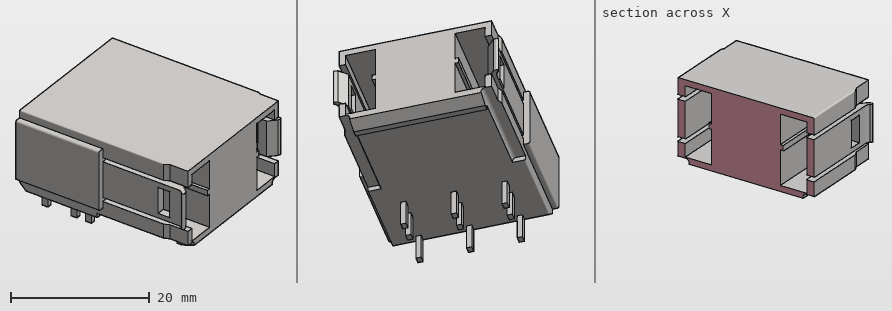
import cadquery as cq

LENGTH = 29.25
HALF_WIDTH = 11.85
HEIGHT = 13.5
REAR_CHAMFER = 1.25
EDGE_RADIUS = 0.2

TAPER_START = 25.2
TAPER_END = 26.13
END_HALF_WIDTH = 11.47

TAB_START = 26.25
TAB_SLOPE_START = 27.15
TAB_HALF_WIDTH = 9.9
TAB_DEPTH = 0.72

RELIEF_START = 13.54
RELIEF_TOP = 0.8
RELIEF_RADIUS = 0.58

PLATE_LENGTH = 14.58
PLATE_HALF_WIDTH = 12.83
PLATE_BOTTOM = 2.07
PLATE_TOP = 12.23
PLATE_RADIUS = 0.35

WINDOW_BOTTOM = 3.22
WINDOW_TOP = 10.71
CAVITY_WALL = 1.05
CORE_HALF_WIDTH = 6.0
RIB_DEPTH = 0.5
RIB_HEIGHT = 0.92
RIB_CENTER = (PLATE_BOTTOM + PLATE_TOP) / 2

ARM_GAP = 0.7
ARM_BOTTOM = WINDOW_BOTTOM + ARM_GAP
ARM_TOP = WINDOW_TOP - ARM_GAP
ARM_INNER = HALF_WIDTH - 1.35
HOOK_START = 27.75
HOOK_FLANK_END = (28.6, 12.18)
HOOK_CREST = (28.85, 12.42)
HOOK_TIP = (29.14, 12.15)
HOOK_HEEL = (29.02, 11.68)
HOLE_START = 24.27
HOLE_END = 26.27
HOLE_BOTTOM = 4.7
HOLE_TOP = 9.13

PIN_X = (1.8, 6.88, 9.42)
PIN_PITCH_Y = 7.62
PIN_LENGTH_X = 1.05
PIN_WIDTH_Y = 0.8
PIN_DROP = 4.24
PIN_EMBED = 0.5


def block(x_range, y_range, z_range):
    """Axis-aligned box between the given limits."""
    size = [high - low for low, high in (x_range, y_range, z_range)]
    corner = (x_range[0], y_range[0], z_range[0])
    return cq.Workplane("XY").box(*size, centered=False).translate(corner)


def both_sides(shape):
    """The shape, built on the +Y side, joined with its mirror image."""
    return shape.union(shape.mirror("XZ"))


def make_housing():
    housing = block((0, LENGTH), (-HALF_WIDTH, HALF_WIDTH), (0, HEIGHT))
    housing = housing.edges("|X").fillet(EDGE_RADIUS)
    rear_corner = (
        cq.Workplane("XZ")
        .polyline([(0, 0), (REAR_CHAMFER, 0), (0, REAR_CHAMFER)])
        .close()
        .extrude(HALF_WIDTH, both=True)
    )
    return housing.cut(rear_corner)


def make_taper_cut():
    return (
        cq.Workplane("XY")
        .moveTo(TAPER_START, HALF_WIDTH)
        .lineTo(TAPER_END, END_HALF_WIDTH)
        .lineTo(LENGTH, END_HALF_WIDTH)
        .lineTo(LENGTH, HALF_WIDTH)
        .close()
        .extrude(HEIGHT)
    )


def make_relief_cut():
    """Step under one side edge; its inner wall is flush with the side of the wedge."""
    return (
        cq.Workplane("YZ", origin=(RELIEF_START, 0, 0))
        .moveTo(TAB_HALF_WIDTH, 0)
        .lineTo(TAB_HALF_WIDTH, RELIEF_TOP - RELIEF_RADIUS)
        .radiusArc((TAB_HALF_WIDTH + RELIEF_RADIUS, RELIEF_TOP), RELIEF_RADIUS)
        .lineTo(HALF_WIDTH, RELIEF_TOP)
        .lineTo(HALF_WIDTH, 0)
        .close()
        .extrude(LENGTH - RELIEF_START)
    )


def make_plates():
    plates = block((0, PLATE_LENGTH), (-PLATE_HALF_WIDTH, PLATE_HALF_WIDTH), (PLATE_BOTTOM, PLATE_TOP))
    return plates.edges("|X").fillet(PLATE_RADIUS)


def make_cavity():
    """Window through one side wall, with the wider cavity and core rib behind it."""
    length_range = (PLATE_LENGTH, LENGTH)
    window = block(length_range, (ARM_INNER, HALF_WIDTH), (WINDOW_BOTTOM, WINDOW_TOP))
    chamber = block(length_range, (CORE_HALF_WIDTH, ARM_INNER), (CAVITY_WALL, HEIGHT - CAVITY_WALL))
    rib = block(
        length_range,
        (CORE_HALF_WIDTH, CORE_HALF_WIDTH + RIB_DEPTH),
        (RIB_CENTER - RIB_HEIGHT / 2, RIB_CENTER + RIB_HEIGHT / 2),
    )
    return window.union(chamber).cut(rib)


def make_arm():
    """Latch arm with an outward hook at its free end and a rectangular hole."""
    heel_x, heel_y = HOOK_HEEL
    heel_chamfer = heel_y - ARM_INNER
    flank_run = HOOK_FLANK_END[0] - HOOK_START
    flank_rise = HOOK_FLANK_END[1] - HALF_WIDTH
    flank_radius = (flank_run**2 + flank_rise**2) / (2 * flank_rise)
    arm = (
        cq.Workplane("XY", origin=(0, 0, ARM_BOTTOM))
        .moveTo(PLATE_LENGTH, ARM_INNER)
        .lineTo(heel_x - heel_chamfer, ARM_INNER)
        .lineTo(heel_x, heel_y)
        .lineTo(*HOOK_TIP)
        .threePointArc(HOOK_CREST, HOOK_FLANK_END)
        .radiusArc((HOOK_START, HALF_WIDTH), flank_radius)
        .lineTo(PLATE_LENGTH, HALF_WIDTH)
        .close()
        .extrude(ARM_TOP - ARM_BOTTOM)
    )
    hole = block((HOLE_START, HOLE_END), (ARM_INNER, HALF_WIDTH), (HOLE_BOTTOM, HOLE_TOP))
    return arm.cut(hole)


def make_tab():
    return (
        cq.Workplane("XZ")
        .moveTo(TAB_START, 0)
        .lineTo(TAB_START, -TAB_DEPTH)
        .lineTo(TAB_SLOPE_START, -TAB_DEPTH)
        .lineTo(LENGTH, 0)
        .close()
        .extrude(TAB_HALF_WIDTH, both=True)
    )


def make_pin(x, y):
    return block(
        (x - PIN_LENGTH_X / 2, x + PIN_LENGTH_X / 2),
        (y - PIN_WIDTH_Y / 2, y + PIN_WIDTH_Y / 2),
        (-PIN_DROP, PIN_EMBED),
    )


result = make_housing()
for side_cut in (make_taper_cut(), make_relief_cut()):
    result = result.cut(both_sides(side_cut))
result = result.union(make_plates())
result = result.cut(both_sides(make_cavity()))
result = result.union(both_sides(make_arm()))
result = result.union(make_tab())
for pin_x in PIN_X:
    for row in (-1, 0, 1):
        result = result.union(make_pin(pin_x, row * PIN_PITCH_Y))